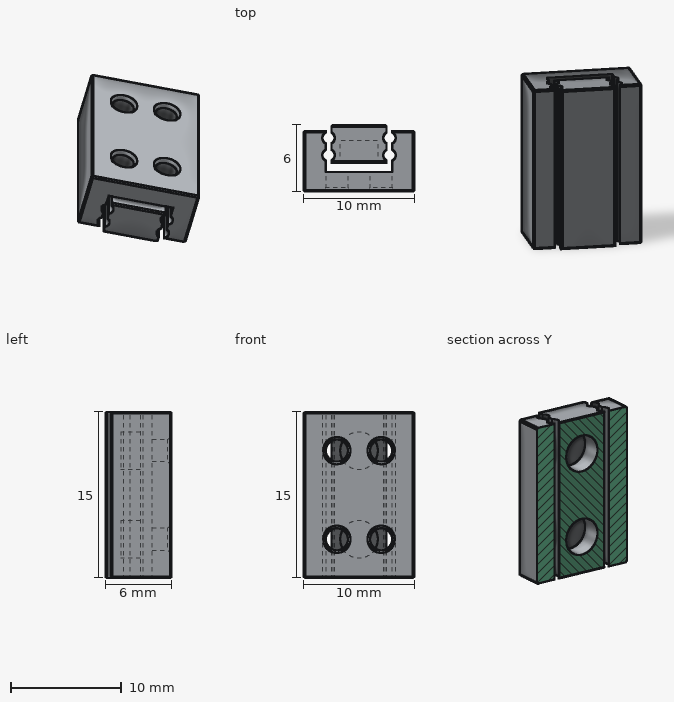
import cadquery as cq
import math

length = 15.0
housing_width = 10.0
housing_height = 5.5
total_height = 6.0
edge_chamfer = 0.15

channel_width = 6.0
channel_floor = 1.8
rail_width = 5.0
rail_underside = 2.6

groove_diameter = 1.1
groove_x = (channel_width + rail_width) / 4
groove_heights = (3.3, 4.85)

mount_hole_diameter = 2.0
countersink_angle = 60.0
countersink_depth = 0.4
mount_spacing_x = 4.0
mount_spacing_z = 8.0

recess_diameter = 3.4
recess_depth = 2.0


def block(width, y_start, y_end):
    """Full-length block, centred on X and Z, between two heights in Y."""
    height = y_end - y_start
    return cq.Workplane("XY").box(width, height, length).translate((0, y_start + height / 2, 0))


def y_cylinder(diameter, y_start, depth, x, z):
    """Cylinder along +Y that starts at y_start."""
    solid = cq.Solid.makeCylinder(diameter / 2, depth, cq.Vector(x, y_start, z), cq.Vector(0, 1, 0))
    return cq.Workplane(obj=solid)


def cut_ball_grooves(body):
    """Cut the four round grooves that run the full length along Z."""
    centres = [(side * groove_x, height) for side in (-1, 1) for height in groove_heights]
    grooves = (
        cq.Workplane("XY", origin=(0, 0, -length / 2))
        .pushPoints(centres)
        .circle(groove_diameter / 2)
        .extrude(length)
    )
    return body.cut(grooves)


def mount_hole_tool(x, z):
    """Plain hole through the floor with a countersink at the front face."""
    bore = y_cylinder(mount_hole_diameter, 0, channel_floor, x, z)
    flare = countersink_depth * math.tan(math.radians(countersink_angle / 2))
    cone = cq.Solid.makeCone(
        mount_hole_diameter / 2 + flare,
        mount_hole_diameter / 2,
        countersink_depth,
        cq.Vector(x, 0, z),
        cq.Vector(0, 1, 0),
    )
    return bore.union(cq.Workplane(obj=cone))


def make_housing():
    """U-shaped housing with every outer edge chamfered."""
    body = block(housing_width, 0, housing_height).edges().chamfer(edge_chamfer)
    body = body.cut(block(channel_width, channel_floor, housing_height))
    body = cut_ball_grooves(body)
    for side_x in (-1, 1):
        for side_z in (-1, 1):
            x = side_x * mount_spacing_x / 2
            z = side_z * mount_spacing_z / 2
            body = body.cut(mount_hole_tool(x, z))
    return body


def make_rail():
    """Rail with a chamfered +Y face, chamfered underside ends and two screw-head recesses."""
    body = block(rail_width, rail_underside, total_height)
    body = body.faces(">Y").edges().chamfer(edge_chamfer)
    body = body.faces("<Y").edges("|X").chamfer(edge_chamfer)
    body = cut_ball_grooves(body)
    for side_z in (-1, 1):
        z = side_z * mount_spacing_z / 2
        body = body.cut(y_cylinder(recess_diameter, rail_underside, recess_depth, 0, z))
    return body


housing = make_housing()
rail = make_rail()

result = cq.Compound.makeCompound([housing.val(), rail.val()])